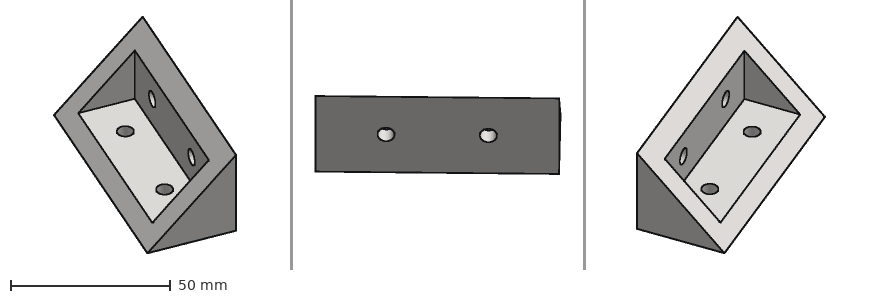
import cadquery as cq

length = 76.2
leg = 30.0

pocket_length = 60.35
floor_thickness = 4.95
back_thickness = 5.95

hole_diameter = 5.3
hole_pitch = 32.0
hole_offset = leg / 2
hole_positions = [(-hole_pitch / 2, 0), (hole_pitch / 2, 0)]


def triangular_prism(width, front, back, bottom):
    """Prism centred on X, with a 45 degree slope from its front edge up to its back."""
    top = bottom + back - front
    return (
        cq.Workplane("YZ")
        .polyline([(front, bottom), (back, bottom), (back, top)])
        .close()
        .extrude(width / 2, both=True)
    )


def screw_holes(plane_name, origin):
    """Pair of cylinders running from the middle of the bracket out through one wall."""
    return (
        cq.Workplane(plane_name, origin=origin)
        .pushPoints(hole_positions)
        .circle(hole_diameter / 2)
        .extrude(-hole_offset)
    )


body = triangular_prism(length, 0, leg, 0)

pocket = triangular_prism(pocket_length, floor_thickness, leg - back_thickness, floor_thickness)

hole_start = (0, hole_offset, hole_offset)
floor_holes = screw_holes("XY", hole_start)
back_holes = screw_holes("XZ", hole_start)

result = body.cut(pocket).cut(floor_holes).cut(back_holes)